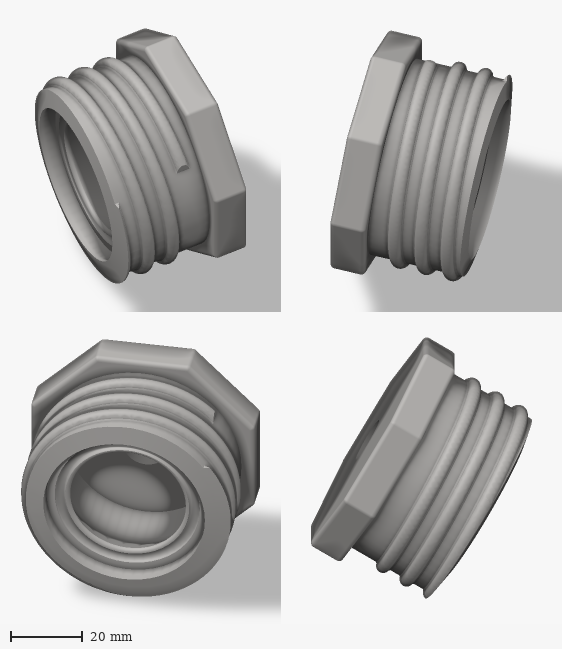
import cadquery as cq
import math

across_flats = 63.5
head_thickness = 10.15
head_fillet = 1.3
total_length = 37.9
octagon_sides = 8

barrel_radius = 28.2
cone_depth = 1.1

counterbore_radius = 23.0
counterbore_depth = 4.95
groove_outer_radius = 20.65
groove_inner_radius = 17.6
mouth_radius = 16.45
cavity_radius = 22.6
cavity_corner_y = -20.05
cavity_blend = 8.25
floor_thickness = 5.1
through_hole_radius = 6.5

thread_pitch = 7.6
thread_turns = 3
thread_end_angle = 49.0
thread_outer_radius = 30.15
head_end_x = 21.45
front_end_z = 17.15
bead_radius = 1.9
foot_height = 0.4
foot_half_width = 2.35
thread_sink = 0.65

front_y = -total_length
seat_y = front_y + counterbore_depth


def make_head():
    corner_diameter = across_flats / math.cos(math.pi / octagon_sides)
    blank = (
        cq.Workplane("XZ")
        .transformed(rotate=(0, 0, 180 / octagon_sides))
        .polygon(octagon_sides, corner_diameter)
        .extrude(head_thickness)
    )
    return blank.edges().fillet(head_fillet)


def make_barrel():
    overlap = head_thickness / 2
    return (
        cq.Workplane("XZ", origin=(0, -overlap, 0))
        .circle(barrel_radius)
        .extrude(total_length - overlap)
    )


def make_thread():
    """Sweep the bead along +Z, then turn its axis onto +Y."""
    height = thread_pitch * thread_turns
    root_radius = barrel_radius - thread_sink
    bead_center = thread_outer_radius - bead_radius
    foot_top_radius = barrel_radius + foot_height
    foot_top_half = math.sqrt(bead_radius**2 - (foot_top_radius - bead_center) ** 2)
    flare = (foot_half_width - foot_top_half) / foot_height
    root_half = foot_half_width + flare * thread_sink
    profile = (
        cq.Workplane("XZ")
        .moveTo(root_radius, -root_half)
        .lineTo(foot_top_radius, -foot_top_half)
        .threePointArc((thread_outer_radius, 0), (foot_top_radius, foot_top_half))
        .lineTo(root_radius, root_half)
        .close()
    )
    helix = cq.Wire.makeHelix(thread_pitch, height, barrel_radius)
    bead = profile.sweep(cq.Workplane(obj=helix), isFrenet=True)
    bead = (
        bead.rotate((0, 0, 0), (1, 0, 0), -90)
        .rotate((0, 0, 0), (0, 1, 0), thread_end_angle - 90)
        .translate((0, front_y, 0))
    )
    size = thread_outer_radius
    trim = cq.Workplane("XY").box(size, thread_pitch, size, centered=(False, True, False))
    head_end_trim = trim.translate((head_end_x, front_y + height, 0))
    front_end_trim = trim.translate((0, front_y, front_end_z))
    return bead.cut(head_end_trim).cut(front_end_trim)


def make_front_trim():
    """Ring of space in front of the conical face, wide enough to trim the thread."""
    trim_radius = thread_outer_radius + bead_radius
    slope = cone_depth / (barrel_radius - counterbore_radius)
    trim_y = front_y + slope * (trim_radius - counterbore_radius)
    clear_y = front_y - thread_pitch
    return (
        cq.Workplane("XY")
        .moveTo(0, front_y)
        .lineTo(counterbore_radius, front_y)
        .lineTo(trim_radius, trim_y)
        .lineTo(trim_radius, clear_y)
        .lineTo(0, clear_y)
        .close()
        .revolve(360, (0, 0, 0), (0, 1, 0))
    )


def make_bore():
    groove_radius = (groove_outer_radius - groove_inner_radius) / 2
    groove_center = (groove_outer_radius + groove_inner_radius) / 2
    lip_radius = groove_inner_radius - mouth_radius
    lip_mid = lip_radius * math.sqrt(0.5)
    lip_end_y = seat_y + lip_radius
    shoulder_angle = math.atan2(cavity_radius - mouth_radius, cavity_corner_y - lip_end_y)
    tangent_length = cavity_blend * math.tan(shoulder_angle / 2)
    blend_start_radius = cavity_radius - tangent_length * math.sin(shoulder_angle)
    blend_start_y = cavity_corner_y - tangent_length * math.cos(shoulder_angle)
    blend_end_y = cavity_corner_y + tangent_length
    blend_mid_radius = cavity_radius - cavity_blend * (1 - math.cos(shoulder_angle / 2))
    blend_mid_y = blend_end_y - cavity_blend * math.sin(shoulder_angle / 2)
    return (
        cq.Workplane("XY")
        .moveTo(0, front_y)
        .lineTo(counterbore_radius, front_y)
        .lineTo(counterbore_radius, seat_y)
        .lineTo(groove_outer_radius, seat_y)
        .threePointArc((groove_center, seat_y + groove_radius), (groove_inner_radius, seat_y))
        .threePointArc(
            (groove_inner_radius - lip_mid, seat_y + lip_radius - lip_mid),
            (mouth_radius, lip_end_y),
        )
        .lineTo(blend_start_radius, blend_start_y)
        .threePointArc((blend_mid_radius, blend_mid_y), (cavity_radius, blend_end_y))
        .lineTo(cavity_radius, -floor_thickness)
        .lineTo(through_hole_radius, -floor_thickness)
        .lineTo(through_hole_radius, 0)
        .lineTo(0, 0)
        .close()
        .revolve(360, (0, 0, 0), (0, 1, 0))
    )


body = make_head().union(make_barrel()).union(make_thread())
result = body.cut(make_front_trim()).cut(make_bore())